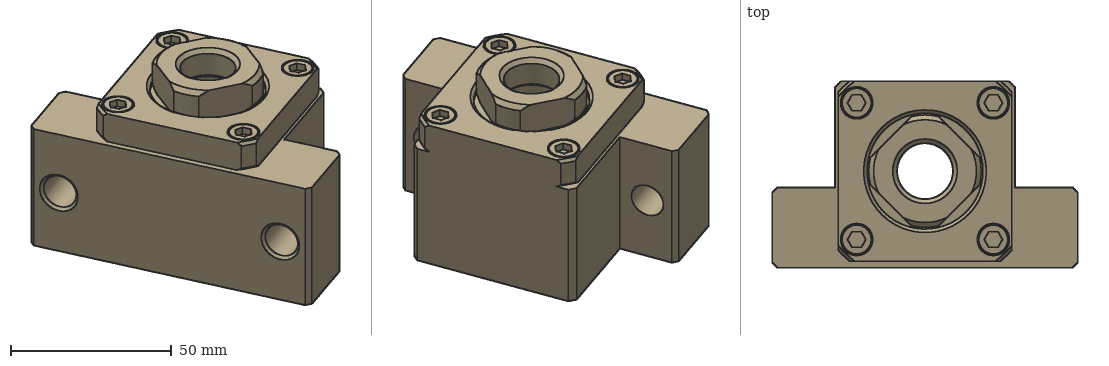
import cadquery as cq
import math


FOOT_WIDTH = 95.0
FOOT_DEPTH = 25.0
AXIS_TO_FRONT = 30.0
BEARING_WIDTH = 56.0
AXIS_TO_BACK = BEARING_WIDTH / 2
BLOCK_HEIGHT = 42.1
FOOT_CHAMFER = 1.6
BEARING_CHAMFER = 1.9

MOUNT_SPACING = 75.0
MOUNT_DIAMETER = 11.0
MOUNT_CHAMFER = 0.95

FLANGE_WIDTH = 54.0
FLANGE_DEPTH = BEARING_WIDTH
FLANGE_HEIGHT = 10.0
FLANGE_TURNED_DIAMETER = 73.0
FLANGE_BEVEL = 0.95
FLANGE_TOP = BLOCK_HEIGHT + FLANGE_HEIGHT

SCREW_SPACING = 42.5
HEAD_DIAMETER = 9.0
COUNTERBORE_DIAMETER = 10.0
HEAD_GAP_DEPTH = 5.7
SOCKET_ACROSS_FLATS = 4.9
SOCKET_DEPTH = 2.4

BOSS_DIAMETER = 25.5
BOSS_HEIGHT = 0.95
HOUSING_BORE = 20.0

RECESS_DIAMETER = 36.0
RECESS_DEPTH = 2.5
RECESS_CHAMFER = 1.0

NUT_DIAMETER = 35.0
NUT_ACROSS_FLATS = 30.0
NUT_PROJECTION = 8.0
NUT_HEIGHT = NUT_PROJECTION + RECESS_DEPTH
NUT_CHAMFER = 1.5
NUT_BORE = 17.3
NUT_BORE_CHAMFER = (HOUSING_BORE - NUT_BORE) / 2


def make_block():
    foot = (
        cq.Workplane("XY")
        .box(FOOT_WIDTH, FOOT_DEPTH, BLOCK_HEIGHT, centered=(True, False, False))
        .edges("|Z")
        .chamfer(FOOT_CHAMFER)
        .translate((0, -AXIS_TO_FRONT, 0))
    )
    bearing_start = FOOT_DEPTH / 2 - AXIS_TO_FRONT
    bearing_section = (
        cq.Workplane("XY")
        .box(
            BEARING_WIDTH,
            AXIS_TO_BACK - bearing_start,
            BLOCK_HEIGHT,
            centered=(True, False, False),
        )
        .translate((0, bearing_start, 0))
        .edges("|Z and >Y")
        .chamfer(BEARING_CHAMFER)
    )
    return foot.union(bearing_section)


def make_flange():
    plate = cq.Workplane("XY").box(
        FLANGE_WIDTH, FLANGE_DEPTH, FLANGE_HEIGHT, centered=(True, True, False)
    )
    turned_disc = (
        cq.Workplane("XY")
        .circle(FLANGE_TURNED_DIAMETER / 2)
        .extrude(FLANGE_HEIGHT)
        .faces("<Z or >Z")
        .chamfer(FLANGE_BEVEL)
    )
    return plate.intersect(turned_disc).translate((0, 0, BLOCK_HEIGHT))


def make_mounting_hole():
    """Cutter for one foot hole, entering at the front face and chamfered there."""
    front_plane = cq.Workplane("XZ", origin=(0, -AXIS_TO_FRONT, BLOCK_HEIGHT / 2))
    hole = front_plane.circle(MOUNT_DIAMETER / 2).extrude(-FOOT_DEPTH)
    countersink = (
        front_plane.circle(MOUNT_DIAMETER / 2 + MOUNT_CHAMFER)
        .extrude(-MOUNT_CHAMFER, taper=45)
    )
    return hole.union(countersink)


def make_screw_recess():
    """Cutter that leaves one socket screw head level with the flange top."""
    top_plane = cq.Workplane("XY", origin=(0, 0, FLANGE_TOP))
    gap = (
        top_plane.circle(COUNTERBORE_DIAMETER / 2)
        .circle(HEAD_DIAMETER / 2)
        .extrude(-HEAD_GAP_DEPTH)
    )
    socket_corner_diameter = SOCKET_ACROSS_FLATS / math.cos(math.pi / 6)
    socket = top_plane.polygon(6, socket_corner_diameter).extrude(-SOCKET_DEPTH)
    return gap.union(socket)


def make_nut_recess():
    top_plane = cq.Workplane("XY", origin=(0, 0, FLANGE_TOP))
    recess = top_plane.circle(RECESS_DIAMETER / 2).extrude(-RECESS_DEPTH)
    rim_chamfer = (
        top_plane.circle(RECESS_DIAMETER / 2 + RECESS_CHAMFER)
        .extrude(-RECESS_CHAMFER, taper=45)
    )
    return recess.union(rim_chamfer)


def make_housing():
    boss = cq.Workplane("XY").circle(BOSS_DIAMETER / 2).extrude(-BOSS_HEIGHT)
    bore = (
        cq.Workplane("XY", origin=(0, 0, -BOSS_HEIGHT))
        .circle(HOUSING_BORE / 2)
        .extrude(BOSS_HEIGHT + FLANGE_TOP)
    )
    housing = make_block().union(make_flange()).union(boss)
    housing = housing.cut(bore).cut(make_nut_recess())
    for side in (-1, 1):
        mount_x = side * MOUNT_SPACING / 2
        housing = housing.cut(make_mounting_hole().translate((mount_x, 0, 0)))
        for end in (-1, 1):
            screw_place = (side * SCREW_SPACING / 2, end * SCREW_SPACING / 2, 0)
            housing = housing.cut(make_screw_recess().translate(screw_place))
    return housing


def make_nut():
    round_body = (
        cq.Workplane("XY")
        .circle(NUT_DIAMETER / 2)
        .extrude(NUT_HEIGHT)
        .faces("<Z or >Z")
        .chamfer(NUT_CHAMFER)
    )
    flats = (
        cq.Workplane("XY")
        .box(NUT_ACROSS_FLATS, NUT_ACROSS_FLATS, NUT_HEIGHT, centered=(True, True, False))
        .rotate((0, 0, 0), (0, 0, 1), 45)
    )
    nut = (
        round_body.intersect(flats)
        .faces(">Z")
        .workplane(origin=(0, 0, 0))
        .hole(NUT_BORE)
        .edges("%CIRCLE")
        .edges(cq.selectors.RadiusNthSelector(0))
        .chamfer(NUT_BORE_CHAMFER)
    )
    return nut.translate((0, 0, FLANGE_TOP - RECESS_DEPTH))


housing = make_housing()
nut = make_nut()
result = cq.Compound.makeCompound([housing.val(), nut.val()])